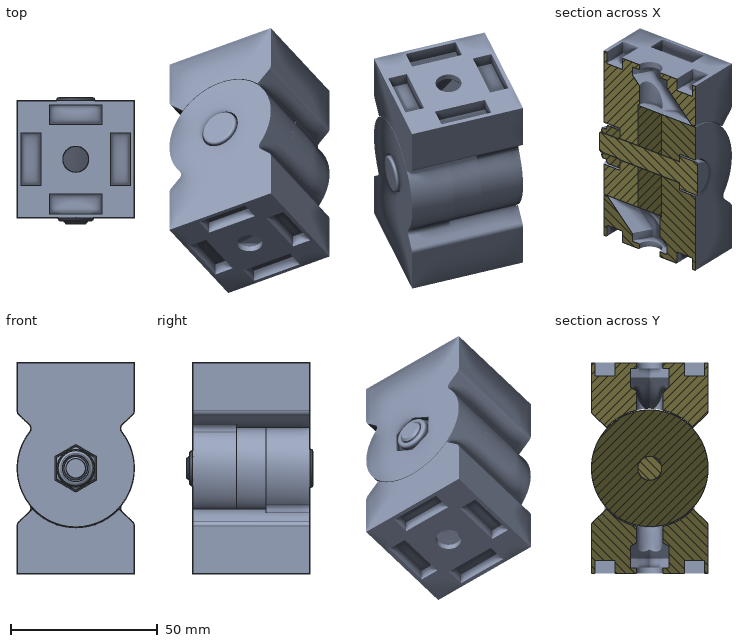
import cadquery as cq
import math

width = 40.0
half_width = width / 2
block_end_z = 36.0

knuckle_radius = half_width
recess_radius = knuckle_radius + 0.25
disc_thickness = 10.0
half_disc = disc_thickness / 2
knuckle_length = half_width - half_disc
shoulder_z = 18.8
edge_radius = 2.0

pocket_length = 18.0
pocket_width = 6.7
pocket_rim = 1.4
pocket_depth = 4.4
pocket_offset = half_width - pocket_rim - pocket_width / 2
mount_hole_diameter = 8.8
cuts_bottom_z = shoulder_z
mount_hole_depth = block_end_z - cuts_bottom_z
mount_plate_thickness = 2.1
trap_flats = 13.0
trap_height = 3.0
trap_bottom_z = block_end_z - mount_plate_thickness - trap_height
channel_angle = 45.0
channel_drop = trap_bottom_z - cuts_bottom_z

bolt_diameter = 8.0
bolt_radius = bolt_diameter / 2
bolt_length = 35.0
bolt_tip_chamfer = 0.7
head_diameter = 13.0
head_height = 8.0
head_edge_radius = 0.8
nut_flats = 13.0
nut_height = 8.0
nut_hex_height = 6.0
nut_corner_chamfer_radius = 6.4
nut_corner_chamfer_height = 0.6
collar_radius = 6.0
collar_edge_radius = 0.9
nut_bore_chamfer = 0.55
fastener_clearance = 1.0
seat_depth = 7.0
seat_y = half_width - seat_depth


def across_corners(flats):
    """Corner-to-corner width of a hexagon from its width across flats."""
    return 2 * flats / math.sqrt(3)


def cylinder_y(radius, y_start, y_end):
    """Cylinder about the hinge axis between two Y positions."""
    disc = cq.Workplane("XZ", origin=(0, y_start, 0)).circle(radius)
    return disc.extrude(y_start - y_end)


def hexagon_y(flats, y_start, y_end):
    """Hexagonal prism about the hinge axis with corners pointing along Z."""
    prism = cq.Workplane("XY").polygon(6, across_corners(flats)).extrude(y_end - y_start)
    prism = prism.rotate((0, 0, 0), (0, 0, 1), 90)
    return prism.rotate((0, 0, 0), (1, 0, 0), -90).translate((0, y_start, 0))


def nut_trap():
    """Hexagonal nut pocket under the mounting face, with a slanted channel the nut slides in through."""
    pocket = cq.Workplane("XY", origin=(0, 0, trap_bottom_z)).polygon(6, across_corners(trap_flats))
    pocket = pocket.extrude(trap_height).rotate((0, 0, 0), (0, 0, 1), 90)
    channel_section = pocket.faces("<Z").wires().val()
    channel_run = cq.Vector(0, channel_drop / math.tan(math.radians(channel_angle)), -channel_drop)
    channel = cq.Solid.extrudeLinear(channel_section, [], channel_run)
    return pocket.union(cq.Workplane(channel))


def mounting_cuts():
    """Pockets, bolt hole and nut trap sunk from the end face of a block."""
    face = cq.Workplane("XY", origin=(0, 0, block_end_z))
    hole = face.circle(mount_hole_diameter / 2).extrude(-mount_hole_depth)
    cuts = hole.union(nut_trap())
    for quarter in range(4):
        pocket = face.center(0, pocket_offset).rect(pocket_length, pocket_width).extrude(-pocket_depth)
        cuts = cuts.union(pocket.rotate((0, 0, 0), (0, 0, 1), 90 * quarter))
    return cuts


def block_slice(y_start, y_end):
    """Slice of the block outline: a square head on two slopes that aim at the hinge axis."""
    outline = [
        (0, 0),
        (half_width, shoulder_z),
        (half_width, block_end_z),
        (-half_width, block_end_z),
        (-half_width, shoulder_z),
    ]
    head = cq.Workplane("XZ", origin=(0, y_start, 0)).polyline(outline).close().extrude(y_start - y_end)
    for side in (-1, 1):
        shoulder = (side * half_width, (y_start + y_end) / 2, shoulder_z)
        head = head.edges(cq.selectors.NearestToPointSelector(shoulder)).fillet(edge_radius)
    return head


def knuckle_slice():
    """The -Y slice of the block, where the knuckle blends into the slopes."""
    body = block_slice(-half_width, -half_disc)
    body = body.union(cylinder_y(knuckle_radius, -half_width, -half_disc))
    slope_angle = math.atan2(shoulder_z, half_width)
    neck_x = knuckle_radius * math.cos(slope_angle)
    neck_y = -half_disc - knuckle_length / 2
    neck_z = knuckle_radius * math.sin(slope_angle)
    for side in (-1, 1):
        neck = cq.selectors.NearestToPointSelector((side * neck_x, neck_y, neck_z))
        body = body.edges(neck).fillet(edge_radius)
    return body.cut(cylinder_y(bolt_radius, -half_width, -half_disc))


def recess_slice():
    """The +Y slice of the block, hollowed to sit on the disc and the other knuckle."""
    body = block_slice(-half_disc, half_width)
    return body.cut(cylinder_y(recess_radius, -half_disc, half_width))


def hinge_block():
    """Upper block with its knuckle at the -Y side, before the fastener seat is cut."""
    return knuckle_slice().union(recess_slice()).cut(mounting_cuts())


def upper_block():
    """Block whose knuckle holds the nut in a hexagonal recess."""
    return hinge_block().cut(hexagon_y(nut_flats + fastener_clearance, -half_width, -seat_y))


def lower_block():
    """The same block turned over, with a round counterbore for the bolt head."""
    turned = hinge_block().rotate((0, 0, 0), (1, 0, 0), 180)
    counterbore_radius = (head_diameter + fastener_clearance) / 2
    return turned.cut(cylinder_y(counterbore_radius, seat_y, half_width))


def spacer_disc():
    """Disc between the two knuckles."""
    disc = cylinder_y(knuckle_radius, -half_disc, half_disc)
    return disc.cut(cylinder_y(bolt_radius, -half_disc, half_disc))


def bolt():
    """Round-headed bolt along the hinge axis with its tip at the -Y end."""
    head = cylinder_y(head_diameter / 2, seat_y, seat_y + head_height)
    head = head.faces(">Y").edges().fillet(head_edge_radius)
    shank = cylinder_y(bolt_radius, seat_y - bolt_length, seat_y)
    shank = shank.faces("<Y").edges().chamfer(bolt_tip_chamfer)
    return head.union(shank)


def lock_nut():
    """Hexagonal nut with a rounded collar on its outer side."""
    top_y = -seat_y - nut_height
    hex_top_y = -seat_y - nut_hex_height
    hexagon = hexagon_y(nut_flats, hex_top_y, -seat_y)
    corner_radius = across_corners(nut_flats) / 2
    corner_cone = (
        cq.Workplane("XY")
        .moveTo(0, -seat_y)
        .lineTo(corner_radius, -seat_y)
        .lineTo(corner_radius, hex_top_y + nut_corner_chamfer_height)
        .lineTo(nut_corner_chamfer_radius, hex_top_y)
        .lineTo(0, hex_top_y)
        .close()
        .revolve(360, (0, 0, 0), (0, 1, 0))
    )
    collar = cylinder_y(collar_radius, top_y, -seat_y)
    collar = collar.faces("<Y").edges().fillet(collar_edge_radius)
    nut = hexagon.intersect(corner_cone).union(collar)
    nut = nut.cut(cylinder_y(bolt_radius, top_y, -seat_y))
    bore_rim = cq.selectors.RadiusNthSelector(0)
    return nut.faces("<Y").edges(bore_rim).chamfer(nut_bore_chamfer)


result = cq.Compound.makeCompound([
    upper_block().val(),
    lower_block().val(),
    spacer_disc().val(),
    bolt().val(),
    lock_nut().val(),
])